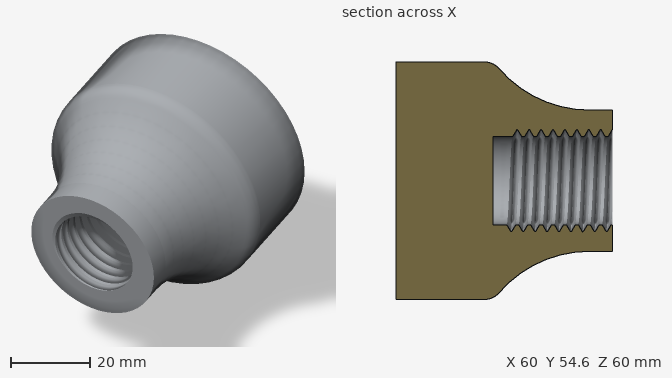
import cadquery as cq
import math

length = 54.55
head_radius = 30.0
neck_radius = 35.7 / 2
neck_length = 5.8
flare_radius = 30.0
shoulder_radius = 5.0

hole_depth = 30.0
minor_radius = 22.1 / 2
major_radius = 25.55 / 2
pitch = 3.0
root_flat = 0.2
flank_angle = math.radians(30)
root_overlap = 0.3


def turned_body():
    """Revolve the outline: neck, concave flare, rounded shoulder and head."""
    flare_x = neck_radius + flare_radius
    shoulder_x = head_radius - shoulder_radius
    center_gap = math.sqrt((flare_radius + shoulder_radius) ** 2 - (flare_x - shoulder_x) ** 2)
    shoulder_y = neck_length + center_gap
    tangent_angle = math.atan2(center_gap, flare_x - shoulder_x)

    def flare_point(angle):
        return (flare_x - flare_radius * math.cos(angle), neck_length + flare_radius * math.sin(angle))

    def shoulder_point(angle):
        return (shoulder_x + shoulder_radius * math.cos(angle), shoulder_y - shoulder_radius * math.sin(angle))

    return (
        cq.Workplane("XY")
        .lineTo(neck_radius, 0)
        .lineTo(neck_radius, neck_length)
        .threePointArc(flare_point(tangent_angle / 2), flare_point(tangent_angle))
        .threePointArc(shoulder_point(tangent_angle / 2), shoulder_point(0))
        .lineTo(head_radius, length)
        .lineTo(0, length)
        .close()
        .revolve(360, (0, 0, 0), (0, 1, 0))
    )


def thread_cutter():
    """Right-hand helical groove, from one pitch outside the neck face to one pitch above the floor."""
    inner_radius = minor_radius - root_overlap
    root_half = root_flat / 2
    mouth_half = root_half + (major_radius - inner_radius) * math.tan(flank_angle)
    helix = cq.Wire.makeHelix(pitch, hole_depth, minor_radius)
    groove = (
        cq.Workplane("XZ")
        .moveTo(inner_radius, -mouth_half)
        .lineTo(major_radius, -root_half)
        .lineTo(major_radius, root_half)
        .lineTo(inner_radius, mouth_half)
        .close()
        .sweep(cq.Workplane(obj=helix), isFrenet=True)
    )
    return (
        groove.rotate((0, 0, 0), (1, 0, 0), -90)
        .rotate((0, 0, 0), (0, 1, 0), -90)
        .translate((0, -pitch, 0))
    )


hole = cq.Workplane("XZ").circle(minor_radius).extrude(-hole_depth)
result = turned_body().cut(hole).cut(thread_cutter())